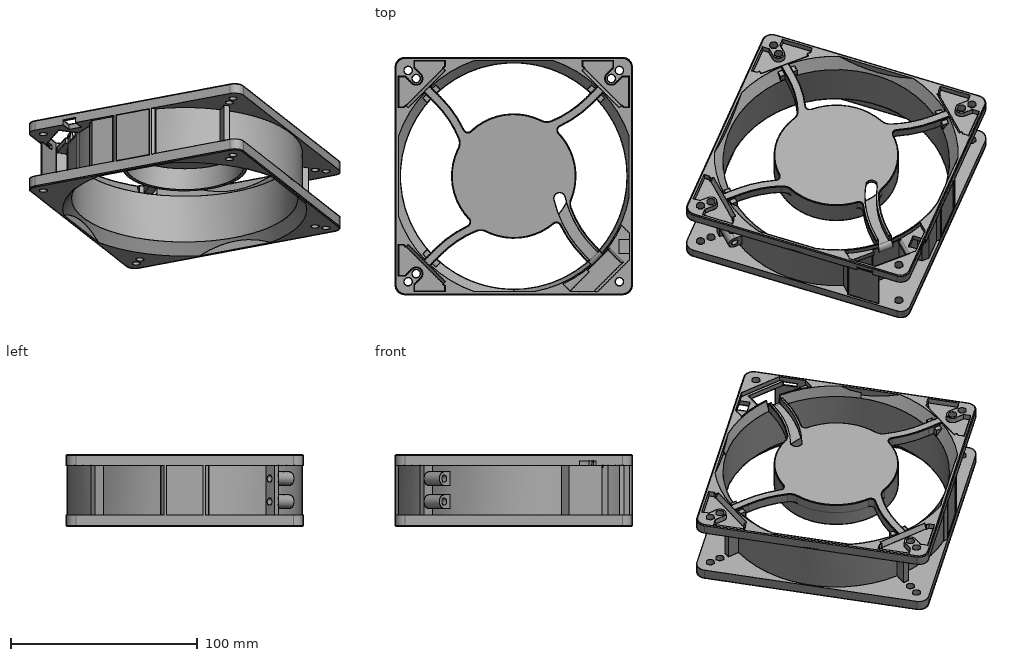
import cadquery as cq
import math

side = 127.0
height = 38.5
corner_radius = 5.3
top_flange = 5.7
bottom_flange = 6.2
edge_chamfer = 0.5

bore_radius = 60.6
barrel_radius = 63.0
mouth_radius = 65.3
wiring_mouth_radius = 62.7
mouth_half_width = 61.7

hub_radius = 33.3
hub_depth = 14.0
hub_cavity_radius = 31.5
hub_top_thickness = 1.9
hub_chamfer = 0.4

spoke_width = 4.6
spoke_depth = 5.5
spoke_bend_radius = 59.7
spoke_bend_start = 57.2
spoke_inner_reach = 22.9
spoke_tight_fillet = 2.3
spoke_wide_fillet = 6.4
foot_width = 9.9
foot_drop = 1.5

channel_spoke_width = 9.0
channel_width = 6.1
channel_depth = 4.1
channel_inner_reach = 25.8
chute_width = 8.4
chute_face = 63.5
chute_seat_width = 15.5
chute_round = 2.8

hole_diameter = 4.3
outer_hole = 56.5
inner_hole = 52.2

pocket_depth = 2.8
pocket_draft = 8.0
pocket_wall = 61.8
pocket_near = 36.6
pocket_far = 53.5
pocket_diagonal = 65.8
pocket_slope_width = 1.7
post_radius = 3.2

web_thickness = 3.2
web_reach = 69.5

tube_count = 2
tube_diameter = 7.4
tube_hole = 3.7
tube_length = 13.2
tube_spacing = 12.3

rib_inner = 9.8
rib_outer = 11.2
rib_base = 13.0

box_start = 58.4
box_side = 62.5
box_corner = 65.0
box_end = 47.1
box_wall = 0.6
box_offset = 22.7

pad_side = 62.0
pad_bevel_start = 59.0
pad_end = 27.8

wiring_pocket_shoulder = 30.5
wiring_pocket_diagonal = 75.5
wiring_rim_radius = 63.4
wiring_pocket_overlap = 6.4
window_inner = 64.8
window_outer = 73.9
window_end = 7.7
window_lip_radius = 1.3
floor_hole_inner = 56.4
floor_hole_near = 34.0
floor_hole_far = 41.4
notch_height = 2.4
notch_left = 35.2
notch_right = 44.1

half = side / 2
top_flange_bottom = height - top_flange
middle_height = top_flange_bottom - bottom_flange
middle_center = bottom_flange + middle_height / 2
pocket_floor = height - pocket_depth
tube_axis = web_reach - tube_diameter / 2
root2 = math.sqrt(2)

corner_turn = 45
wiring_corner = -45
plain_corners = (45, 135, 225)
terminal_corner = 225


def at_corner(body, angle):
    """Turn a body drawn along +X towards the corner at the given angle."""
    return body.rotate((0, 0, 0), (0, 0, 1), angle)


def disc(radius, bottom, top):
    return cq.Workplane("XY").workplane(offset=bottom).circle(radius).extrude(top - bottom)


def prism(points, bottom, top):
    return cq.Workplane("XY").workplane(offset=bottom).polyline(points).close().extrude(top - bottom)


def block(x_range, y_range, z_range):
    spans = [high - low for low, high in (x_range, y_range, z_range)]
    corner = (x_range[0], y_range[0], z_range[0])
    return cq.Workplane("XY").box(*spans, centered=False).translate(corner)


def flange(bottom, thickness, outer_face):
    plate = cq.Workplane("XY").workplane(offset=bottom).rect(side, side).extrude(thickness)
    return plate.edges("|Z").fillet(corner_radius).faces(outer_face).chamfer(edge_chamfer)


def barrel_ribs():
    """A shallow flat with a rib on either side, on the -X and +X sides of the barrel."""
    root = half - (rib_base - rib_outer)
    ribs = block((root, barrel_radius), (-rib_outer, rib_outer), (bottom_flange, top_flange_bottom))
    for sign in (-1, 1):
        outline = [(root, sign * rib_inner), (half, sign * rib_inner),
                   (half, sign * rib_outer), (root, sign * rib_base)]
        ribs = ribs.union(prism(outline, bottom_flange, top_flange_bottom))
    return ribs.union(ribs.mirror("YZ"))


def corner_webs():
    webs = None
    for angle in plain_corners:
        web = at_corner(block((bore_radius, web_reach), (-web_thickness / 2, web_thickness / 2),
                              (bottom_flange, top_flange_bottom)), angle)
        webs = web if webs is None else webs.union(web)
    return webs


def wiring_box():
    """Wall and shoulder between the flanges on the -Y side of the wiring corner; open towards +X."""
    z_range = (bottom_flange, top_flange_bottom)
    corner_x = box_corner * root2 - box_side
    wall = block((corner_x, box_end), (-box_side, -box_side + box_wall), z_range)
    shoulder = block((box_start, box_corner), (box_offset - box_wall, box_offset), z_range)
    return wall.union(at_corner(shoulder.mirror("XZ"), wiring_corner))


def side_pad():
    """Bevelled pad on the +X side of the barrel, next to the open side of the wiring corner."""
    barrel_x = math.sqrt(barrel_radius ** 2 - pad_end ** 2)
    barrel_y = math.sqrt(barrel_radius ** 2 - pad_side ** 2)
    bevel = pad_side - pad_bevel_start
    outline = [(barrel_x, -pad_end), (pad_bevel_start, -pad_end),
               (pad_side, bevel - pad_end), (pad_side, -barrel_y)]
    return prism(outline, bottom_flange, top_flange_bottom)


def mouth(radius, depth):
    """Conical mouth of the given top radius, cut flat on its four sides."""
    cone = (cq.Workplane("XY").workplane(offset=height - depth).circle(bore_radius)
            .workplane(offset=depth).circle(radius).loft(ruled=True))
    limit = 2 * mouth_half_width
    return cone.intersect(cq.Workplane("XY").rect(limit, limit).extrude(height))


def bore():
    """Bore with a mouth at either end; the top one is narrower in the wiring quadrant."""
    wiring_quadrant = block((0, half), (-half, 0), (0, height))
    top_mouth = mouth(mouth_radius, top_flange).cut(wiring_quadrant)
    wiring_mouth = mouth(wiring_mouth_radius, top_flange)
    bottom_mouth = mouth(mouth_radius, bottom_flange).mirror("XY").translate((0, 0, height))
    return disc(bore_radius, 0, height).union(wiring_mouth).union(top_mouth).union(bottom_mouth)


def corner_pocket():
    """Drafted pocket around the inner screw post, drawn in the +X +Y corner."""
    slope_foot = pocket_diagonal + pocket_slope_width
    diagonal_far = slope_foot * root2 - pocket_near
    post_start = pocket_far + post_radius * root2
    tangent = post_radius / root2
    tip = inner_hole - tangent
    outline = (
        cq.Workplane("XY").workplane(offset=height)
        .moveTo(pocket_far, pocket_wall)
        .lineTo(pocket_near, pocket_wall)
        .lineTo(pocket_near, diagonal_far)
        .lineTo(diagonal_far, pocket_near)
        .lineTo(pocket_wall, pocket_near)
        .lineTo(pocket_wall, pocket_far)
        .lineTo(post_start, pocket_far)
        .lineTo(inner_hole + tangent, inner_hole - tangent)
        .threePointArc((tip, tip), (inner_hole - tangent, inner_hole + tangent))
        .lineTo(pocket_far, post_start)
        .close()
    )
    pocket = outline.extrude(-pocket_depth, taper=pocket_draft)

    slope_half_length = pocket_diagonal - pocket_near * root2
    slope = (cq.Workplane("XZ").workplane(offset=-slope_half_length)
             .polyline([(pocket_diagonal, height), (slope_foot + pocket_slope_width, height),
                        (slope_foot + pocket_slope_width, pocket_floor), (slope_foot, pocket_floor)])
             .close().extrude(2 * slope_half_length))
    return pocket.union(at_corner(slope, corner_turn))


def bend_angle(reach):
    """Angle the spoke has turned through where it is at the given distance along its corner diagonal."""
    return math.asin((spoke_bend_start - reach) / spoke_bend_radius)


def spoke(width, reach, depth, outer_end):
    """Spoke flush with the top, straight at the rim and bending to +Y towards the hub."""
    angle = bend_angle(reach)

    def on_bend(offset, turn):
        radius = spoke_bend_radius + offset
        return (spoke_bend_start - radius * math.sin(turn), spoke_bend_radius - radius * math.cos(turn))

    edge = width / 2
    return (
        cq.Workplane("XY").workplane(offset=height)
        .moveTo(outer_end, -edge)
        .lineTo(spoke_bend_start, -edge)
        .threePointArc(on_bend(edge, angle / 2), on_bend(edge, angle))
        .lineTo(*on_bend(-edge, angle))
        .threePointArc(on_bend(-edge, angle / 2), (spoke_bend_start, edge))
        .lineTo(outer_end, edge)
        .close()
        .extrude(-depth)
    )


def hub_with_spoke(width, outer_end):
    """Hub plate with one spoke; the spoke's two roots are filleted, tight on -Y and wide on +Y."""
    plate = at_corner(disc(hub_radius, height - spoke_depth, height), 180)
    body = plate.union(spoke(width, spoke_inner_reach, spoke_depth, outer_end))
    root_zone = cq.selectors.BoxSelector((spoke_inner_reach, -hub_radius, 0), (hub_radius, hub_radius, height))
    body = body.edges(root_zone).edges("|Z").edges("<Y").fillet(spoke_tight_fillet)
    return body.edges(root_zone).edges("|Z").edges(">Y").fillet(spoke_wide_fillet)


def hub_and_spokes():
    body = at_corner(hub_with_spoke(channel_spoke_width, bore_radius), wiring_corner)
    narrow = hub_with_spoke(spoke_width, mouth_radius + hub_chamfer)
    foot = block((bore_radius, mouth_radius), (-foot_width / 2, foot_width / 2),
                 (top_flange_bottom, height - foot_drop))
    for angle in plain_corners:
        body = body.union(at_corner(narrow.union(foot), angle))
    cup = disc(hub_radius, height - hub_depth, height - hub_chamfer)
    cavity = disc(hub_cavity_radius, height - hub_depth, height - hub_top_thickness)
    return body.union(cup).faces(">Z").chamfer(hub_chamfer).cut(cavity)


def wire_chute():
    """Rounded sill over which the wires drop from the channel into the wiring corner."""
    sill = block((bore_radius, chute_face), (-chute_width / 2, chute_width / 2),
                 (bottom_flange, height - channel_depth))
    return at_corner(sill.edges(">X and >Z").fillet(chute_round), wiring_corner)


def chute_seat():
    """Flat-faced thickening of the barrel below the chute."""
    width = chute_seat_width
    seat = block((bore_radius, chute_face), (-width / 2, width / 2), (bottom_flange, top_flange_bottom))
    return at_corner(seat, wiring_corner)


def rim_gap():
    """Opening through the rim above the chute."""
    opening = block((bore_radius, window_inner), (-chute_width / 2, chute_width / 2),
                    (height - channel_depth - chute_round, height))
    return at_corner(opening, wiring_corner)


def wire_channel():
    """Round-ended groove along the wide spoke, open through the rim."""
    groove = spoke(channel_width, channel_inner_reach, channel_depth, window_inner)
    end_offset = spoke_bend_radius * (1 - math.cos(bend_angle(channel_inner_reach)))
    end = (channel_inner_reach, end_offset, 0)
    groove = groove.union(disc(channel_width / 2, height - channel_depth, height).translate(end))
    return at_corner(groove, wiring_corner)


def wiring_pocket(bottom):
    """The pocket in the wiring corner, outside the rim of the mouth, cut down to the given level."""
    wall = pocket_wall
    corner = wiring_pocket_diagonal * root2 - wall
    inner_start = wiring_pocket_shoulder - wiring_pocket_overlap
    inner_wall = wall - wiring_pocket_overlap
    outline = [(inner_start, -inner_wall), (wiring_pocket_shoulder, -wall), (corner, -wall),
               (wall, -corner), (wall, -wiring_pocket_shoulder), (inner_wall, -inner_start)]
    return prism(outline, bottom, height).cut(disc(wiring_rim_radius, bottom, height))


def wiring_window():
    """Part of the pocket that is open through the whole flange; its floor edge is rounded."""
    z_range = (top_flange_bottom, height)
    strip = block((window_inner, window_outer), (-half, window_end), z_range)
    strip = strip.union(block((chute_face, window_outer), (-chute_seat_width / 2, window_end), z_range))
    lip = block((chute_face, window_outer), (window_end, window_end + window_lip_radius),
                (pocket_floor - window_lip_radius, pocket_floor))
    lip_round = (cq.Workplane("YZ").workplane(offset=chute_face)
                 .center(window_end + window_lip_radius, pocket_floor - window_lip_radius)
                 .circle(window_lip_radius).extrude(window_outer - chute_face))
    strip = at_corner(strip.union(lip.cut(lip_round)), wiring_corner)
    return strip.intersect(wiring_pocket(top_flange_bottom))


def wiring_notches():
    """Rectangular notches below the pocket floor: through the -Y wall, and through the +X wall and floor."""
    notch_top = top_flange_bottom + notch_height
    front = block((notch_left, notch_right), (-half, -box_side + box_wall), (top_flange_bottom, notch_top))
    right = block((floor_hole_inner, half), (-floor_hole_far, -floor_hole_near),
                  (top_flange_bottom, pocket_floor))
    return front.union(right)


def terminal_height(index):
    return middle_center + (index - (tube_count - 1) / 2) * tube_spacing


def terminals():
    """Two horizontal tubes on one side of the web, each backed by a block on the barrel."""
    bodies = None
    for index in range(tube_count):
        level = terminal_height(index)
        tube = cq.Workplane("XZ").center(tube_axis, level).circle(tube_diameter / 2).extrude(-tube_length)
        backing = block((bore_radius, tube_axis), (0, tube_length),
                        (level - tube_diameter / 2, level + tube_diameter / 2))
        body = tube.union(backing)
        bodies = body if bodies is None else bodies.union(body)
    return at_corner(bodies, terminal_corner)


def terminal_holes():
    levels = [(tube_axis, terminal_height(index)) for index in range(tube_count)]
    holes = (cq.Workplane("XZ").workplane(offset=web_thickness).pushPoints(levels)
             .circle(tube_hole / 2).extrude(-tube_length - 2 * web_thickness))
    return at_corner(holes, terminal_corner)


def screw_holes():
    """Through holes at all four corners, with a second one at each plain corner."""
    outer = [(x, y) for x in (-outer_hole, outer_hole) for y in (-outer_hole, outer_hole)]
    inner = [(inner_hole, inner_hole), (-inner_hole, inner_hole), (-inner_hole, -inner_hole)]
    return cq.Workplane("XY").pushPoints(outer + inner).circle(hole_diameter / 2).extrude(height)


frame = flange(0, bottom_flange, "<Z").union(flange(top_flange_bottom, top_flange, ">Z"))
frame = frame.union(disc(barrel_radius, 0, height))
for part in (barrel_ribs(), corner_webs(), wiring_box(), side_pad(), chute_seat(), terminals()):
    frame = frame.union(part)
frame = frame.cut(bore())

for angle in plain_corners:
    frame = frame.cut(at_corner(corner_pocket(), angle - corner_turn))
for opening in (wiring_pocket(pocket_floor), wiring_window(), wiring_notches(), rim_gap(),
                terminal_holes(), screw_holes()):
    frame = frame.cut(opening)

result = frame.union(wire_chute()).union(hub_and_spokes()).cut(wire_channel())